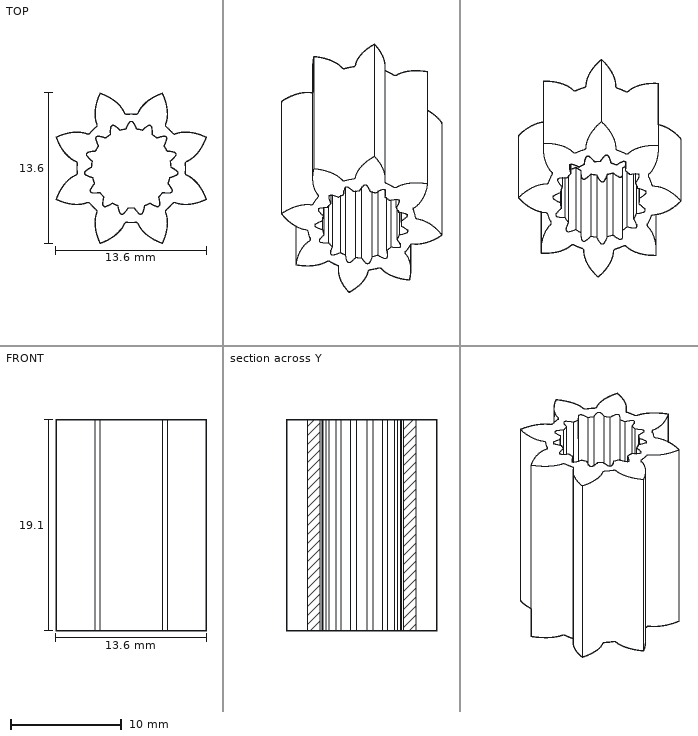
import cadquery as cq
import math

length = 19.05
width_across_tips = 13.56
tooth_count = 8
tooth_pitch = 2 * math.pi / tooth_count
root_radius = 4.9
tip_radius = width_across_tips / 2 / math.cos(tooth_pitch / 2)
root_fillet = 0.2

notch_count = 15
notch_pitch = 2 * math.pi / notch_count
bore_radius = 3.57
notch_base_radius = 3.25
notch_half_angle_at_base = 0.160
notch_round_radius = 4.1
notch_end_radius = 4.22

flank_points = 8


def involute_angle(radius, base_radius):
    """Polar angle swept by an involute between its base circle and the radius."""
    tangent = math.sqrt(max((radius / base_radius) ** 2 - 1, 0))
    return tangent - math.atan(tangent)


def polar(radius, angle):
    return (radius * math.cos(angle), radius * math.sin(angle))


def flank(base_radius, half_angle_at_base, inner_radius, outer_radius, center_angle, side):
    """Points outward along one involute flank; side is -1 or +1 from the center line."""
    points = []
    for i in range(flank_points):
        radial_fraction = (i / (flank_points - 1)) ** 2
        radius = inner_radius + (outer_radius - inner_radius) * radial_fraction
        half_angle = half_angle_at_base - involute_angle(radius, base_radius)
        points.append(polar(radius, center_angle + side * half_angle))
    return points


def pinion_body():
    """Extruded gear whose two flanks meet in a sharp tip on every tooth."""
    half_angle_at_root = involute_angle(tip_radius, root_radius)
    outline = cq.Workplane("XY").moveTo(*polar(root_radius, tooth_pitch / 2 - half_angle_at_root))
    for i in range(tooth_count):
        center = (i + 0.5) * tooth_pitch
        rising = flank(root_radius, half_angle_at_root, root_radius, tip_radius, center, -1)
        falling = flank(root_radius, half_angle_at_root, root_radius, tip_radius, center, 1)[::-1]
        next_root_start = polar(root_radius, center + tooth_pitch - half_angle_at_root)
        outline = outline.spline(rising[1:], includeCurrent=True)
        outline = outline.spline(falling[1:], includeCurrent=True)
        outline = outline.threePointArc(polar(root_radius, center + tooth_pitch / 2), next_root_start)
    body = outline.close().extrude(length)

    root_zone = cq.selectors.BoxSelector(
        (-root_radius, -root_radius, 0), (root_radius, root_radius, length)
    )
    return body.edges("|Z").edges(root_zone).fillet(root_fillet)


def bore_notch(center):
    """Tapered spline notch with a rounded outer end, reaching inward into the bore."""
    left = flank(notch_base_radius, notch_half_angle_at_base,
                 notch_base_radius, notch_round_radius, center, -1)
    right = flank(notch_base_radius, notch_half_angle_at_base,
                  notch_base_radius, notch_round_radius, center, 1)[::-1]
    return (
        cq.Workplane("XY")
        .moveTo(*left[0])
        .spline(left[1:], includeCurrent=True)
        .threePointArc(polar(notch_end_radius, center), right[0])
        .spline(right[1:], includeCurrent=True)
        .close()
        .extrude(length)
    )


def splined_bore():
    """Through bore with equally spaced notches, one of them pointing along +Y."""
    bore = cq.Workplane("XY").circle(bore_radius).extrude(length)
    for i in range(notch_count):
        bore = bore.union(bore_notch(math.pi / 2 + i * notch_pitch))
    return bore


result = pinion_body().cut(splined_bore())